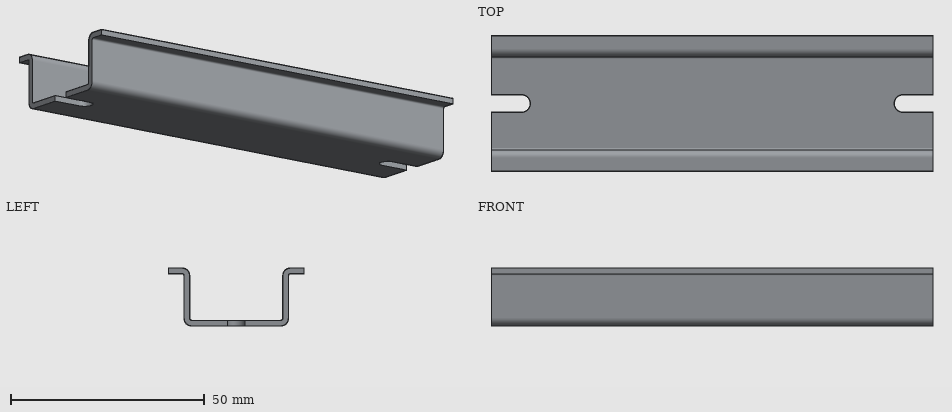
import cadquery as cq

length = 114.0
width = 35.0
height = 15.0
thickness = 1.5
channel_width = 27.0
inner_bend_radius = 0.5
outer_bend_radius = inner_bend_radius + thickness

slot_width = 4.5
slot_depth = 10.0

wall_outside = channel_width / 2
wall_inside = wall_outside - thickness
flange_underside = height - thickness


def make_sharp_rail():
    """Extrude the hat section with square corners."""
    right_half = [
        (wall_outside, 0),
        (wall_outside, flange_underside),
        (width / 2, flange_underside),
        (width / 2, height),
        (wall_inside, height),
        (wall_inside, thickness),
    ]
    left_half = [(-y, z) for y, z in reversed(right_half)]
    section = cq.Workplane("YZ").polyline(right_half + left_half).close()
    return section.extrude(length / 2, both=True)


def round_corners(rail, corners, radius):
    """Fillet the lengthwise edges at the given (y, z) corners on both sides."""
    for y, z in corners:
        for side in (-1, 1):
            edge = cq.selectors.NearestToPointSelector((0, side * y, z))
            rail = rail.edges("|X").edges(edge).fillet(radius)
    return rail


def make_slot(end):
    """Cutter for one floor slot; end is -1 or 1 along X."""
    return (
        cq.Workplane("XY")
        .center(end * length / 2, 0)
        .slot2D(2 * slot_depth, slot_width)
        .extrude(thickness)
    )


inner_corners = [(wall_inside, thickness), (wall_outside, flange_underside)]
outer_corners = [(wall_outside, 0), (wall_inside, height)]

rail = make_sharp_rail()
rail = round_corners(rail, inner_corners, inner_bend_radius)
rail = round_corners(rail, outer_corners, outer_bend_radius)
for end in (-1, 1):
    rail = rail.cut(make_slot(end))

result = rail